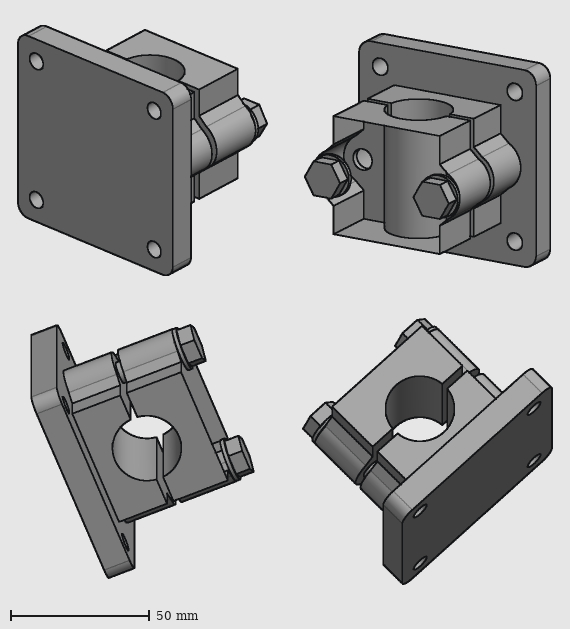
import cadquery as cq

plate_size = 75.0
plate_thickness = 10.0
plate_corner_radius = 5.0
mount_hole_spacing = 57.0
mount_hole_diameter = 6.5

bore_diameter = 25.0
bore_center_y = 30.0
clamp_end_y = 52.5
split_gap = 2.55
clamp_width = 45.0
clamp_height = 45.0

lobe_root_z = 11.7
lobe_nose_start_x = 25.95
lobe_nose_start_z = 8.55

bolt_x = 23.0
shank_diameter = 8.0
washer_diameter = 16.0
washer_thickness = 1.5
head_across_corners = 15.0
head_height = 5.4
lobe_tip_x = bolt_x + washer_diameter / 2


def plane_at(y):
    """XZ plane at the given Y, extruding toward +Y, with local x = X and local y = -Z."""
    return cq.Workplane(cq.Plane(origin=(0, y, 0), xDir=(1, 0, 0), normal=(0, 1, 0)))


def make_plate():
    plate = plane_at(0).rect(plate_size, plate_size).extrude(plate_thickness)
    plate = plate.edges("|Y").fillet(plate_corner_radius)
    holes = (
        plane_at(0)
        .rect(mount_hole_spacing, mount_hole_spacing, forConstruction=True)
        .vertices()
        .circle(mount_hole_diameter / 2)
        .extrude(plate_thickness)
    )
    return plate.cut(holes)


def make_clamp_half(start_y, end_y):
    """Rectangular block with a bolt lobe on each side."""
    length = end_y - start_y
    half = plane_at(start_y).rect(clamp_width, clamp_height).extrude(length)
    for side in (-1, 1):
        lobe = (
            plane_at(start_y)
            .moveTo(0, lobe_root_z)
            .lineTo(side * clamp_width / 2, lobe_root_z)
            .lineTo(side * lobe_nose_start_x, lobe_nose_start_z)
            .threePointArc(
                (side * lobe_tip_x, 0),
                (side * lobe_nose_start_x, -lobe_nose_start_z),
            )
            .lineTo(side * clamp_width / 2, -lobe_root_z)
            .lineTo(0, -lobe_root_z)
            .close()
            .extrude(length)
        )
        half = half.union(lobe)
    return half


def make_bolt(x):
    """Shank across the split, washer on the clamp end and hexagonal head."""
    shank_length = clamp_end_y - plate_thickness
    washer_end_y = clamp_end_y + washer_thickness
    shank = plane_at(plate_thickness).center(x, 0).circle(shank_diameter / 2).extrude(shank_length)
    washer = plane_at(clamp_end_y).center(x, 0).circle(washer_diameter / 2).extrude(washer_thickness)
    head = plane_at(washer_end_y).center(x, 0).polygon(6, head_across_corners).extrude(head_height)
    return shank.union(washer).union(head)


lower_half = make_clamp_half(plate_thickness, bore_center_y - split_gap / 2)
upper_half = make_clamp_half(bore_center_y + split_gap / 2, clamp_end_y)
bore = (
    cq.Workplane("XY")
    .center(0, bore_center_y)
    .circle(bore_diameter / 2)
    .extrude(clamp_height / 2, both=True)
)

clamp = lower_half.union(upper_half).cut(bore)
for bolt_position in (-bolt_x, bolt_x):
    clamp = clamp.union(make_bolt(bolt_position))

result = make_plate().union(clamp)